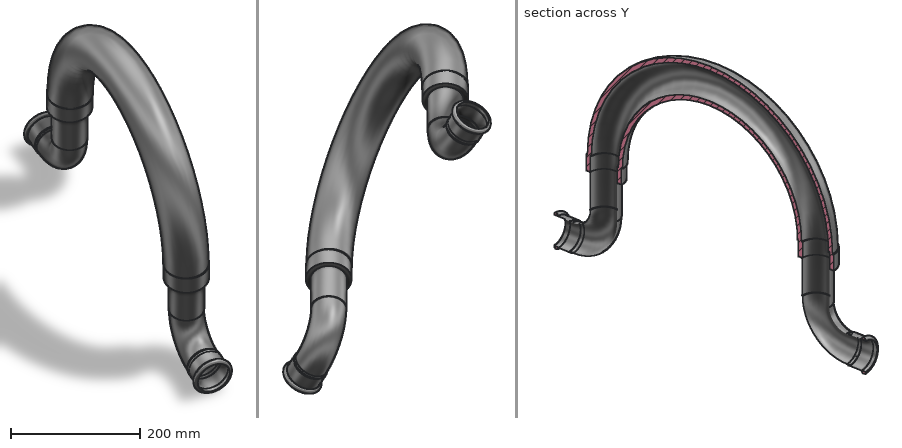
import cadquery as cq

overall_length = 625.0
overall_height = 437.5
leg_x = 212.5

hose_diameter = 71.0
hose_bend_radius = 210.5
collar_height = 29.5
pipe_bore = 53.0

leg_diameter = 56.0
elbow_diameter = 55.0
elbow_radius = 62.0
leg_chamfer = 0.5

rim_diameter = 65.5
rim_length = 9.0
socket_diameter = 57.5
socket_bore = 54.5
taper_length = 3.0
socket_bore_depth = 31.0

port_z = rim_diameter / 2
elbow_top_z = port_z + elbow_radius
collar_top_z = overall_height - hose_bend_radius - hose_diameter / 2
collar_bottom_z = collar_top_z - collar_height
mouth_x = -overall_length / 2
elbow_start_x = -leg_x - elbow_radius


def make_hose(diameter):
    """Half torus standing on the tops of the two collars."""
    return (
        cq.Workplane("XY", origin=(-hose_bend_radius, 0, collar_top_z))
        .circle(diameter / 2)
        .revolve(180, (hose_bend_radius, 0, 0), (hose_bend_radius, 1, 0))
    )


def make_upright(diameter, bottom_z, top_z):
    """Vertical cylinder on the axis of the left leg."""
    return (
        cq.Workplane("XY", origin=(-leg_x, 0, bottom_z))
        .circle(diameter / 2)
        .extrude(top_z - bottom_z)
    )


def make_port_cylinder(diameter, start_x, end_x):
    """Horizontal cylinder on the axis of the left socket."""
    return (
        cq.Workplane("YZ", origin=(start_x, 0, port_z))
        .circle(diameter / 2)
        .extrude(end_x - start_x)
    )


def make_elbow(diameter):
    """Quarter bend from the left socket up to the left leg."""
    path = (
        cq.Workplane("XZ", origin=(elbow_start_x, 0, port_z))
        .radiusArc((elbow_radius, elbow_radius), -elbow_radius)
    )
    return (
        cq.Workplane("YZ", origin=(elbow_start_x, 0, port_z))
        .circle(diameter / 2)
        .sweep(path)
    )


def make_rim():
    """Solid disc whose edge is a full half-round bead."""
    bead_radius = rim_length / 2
    bead_base = rim_diameter / 2 - bead_radius
    return (
        cq.Workplane("XZ", origin=(mouth_x, 0, port_z))
        .lineTo(0, bead_base)
        .threePointArc((bead_radius, rim_diameter / 2), (rim_length, bead_base))
        .lineTo(rim_length, 0)
        .close()
        .revolve(360, (0, 0, 0), (1, 0, 0))
    )


def make_socket():
    """Sleeve with a rounded rim at its mouth and a short taper to the elbow."""
    sleeve_end_x = elbow_start_x - taper_length
    rim = make_rim()
    sleeve = make_port_cylinder(socket_diameter, mouth_x + rim_length, sleeve_end_x)
    taper = (
        cq.Workplane("YZ", origin=(sleeve_end_x, 0, port_z))
        .circle(socket_diameter / 2)
        .workplane(offset=taper_length)
        .circle(elbow_diameter / 2)
        .loft()
    )
    return rim.union(sleeve).union(taper)


def make_left_end():
    """Outside of the left collar, leg, elbow and socket."""
    collar = make_upright(hose_diameter, collar_bottom_z, collar_top_z)
    leg = make_upright(leg_diameter, elbow_top_z, collar_bottom_z)
    leg = leg.faces("<Z").chamfer(leg_chamfer)
    return collar.union(leg).union(make_elbow(elbow_diameter)).union(make_socket())


def make_left_bore():
    """Passage through the left end, widened inside the socket."""
    upright = make_upright(pipe_bore, elbow_top_z, collar_top_z)
    approach = make_port_cylinder(pipe_bore, mouth_x, elbow_start_x)
    socket = make_port_cylinder(socket_bore, mouth_x, mouth_x + socket_bore_depth)
    return upright.union(make_elbow(pipe_bore)).union(approach).union(socket)


left_end = make_left_end().cut(make_left_bore())
right_end = left_end.mirror("YZ")
hose = make_hose(hose_diameter).cut(make_hose(pipe_bore))

result = hose.union(left_end).union(right_end)